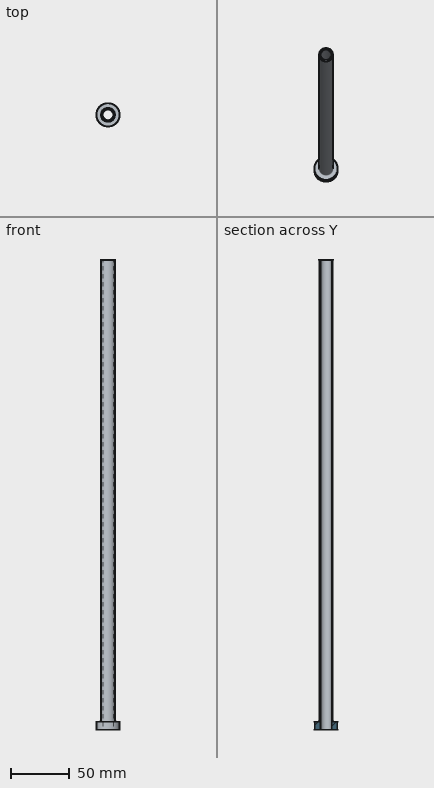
import cadquery as cq

total_length = 400.0
tube_diameter = 12.0
bore_diameter = 9.0
head_diameter = 20.0
head_height = 7.0
root_fillet_radius = 0.8


def sleeve_body():
    """Solid head and shank, revolved about Z, with a fillet where they meet."""
    tube_radius = tube_diameter / 2
    head_radius = head_diameter / 2
    return (
        cq.Workplane("XZ")
        .lineTo(head_radius, 0)
        .lineTo(head_radius, head_height)
        .lineTo(tube_radius + root_fillet_radius, head_height)
        .radiusArc((tube_radius, head_height + root_fillet_radius), root_fillet_radius)
        .lineTo(tube_radius, total_length)
        .lineTo(0, total_length)
        .close()
        .revolve(360, (0, 0, 0), (0, 1, 0))
    )


def through_bore():
    """Cylinder that opens the sleeve along its whole length."""
    return cq.Workplane("XY").circle(bore_diameter / 2).extrude(total_length)


result = sleeve_body().cut(through_bore())